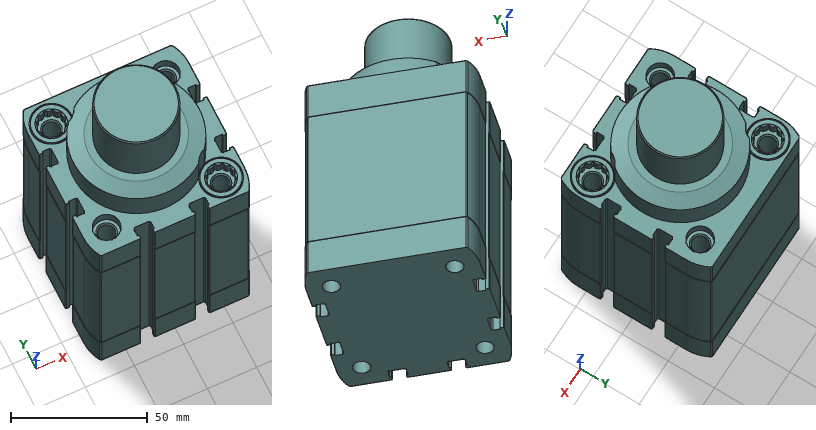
import cadquery as cq
import math

WIDTH = 65.5
HALF = WIDTH / 2
TOTAL_HEIGHT = 131.0
BODY_HEIGHT = 90.5
CAP_HEIGHT = 15.0
BARREL_INSET = 0.2

CORNER_START = 23.3
CORNER_RADIUS = 18.3
CORNER_ANGLE = math.radians(29.3)
CORNER_FLAT = 29.7

SLOT_OFFSET = 11.1
SLOT_DEPTH = 5.0
SLOT_WIDTH = 6.8
MOUTH_WIDTH = 5.5
LIP_DEPTH = 1.6
MOUTH_CHAMFER = 0.33
SLOT_FLOOR_CHAMFER = 0.5

COLLAR_DIAMETER = 51.0
COLLAR_HEIGHT = 12.8
CONE_TOP_DIAMETER = 38.3
CONE_HEIGHT = 1.6

ROD_DIAMETER = 32.0
ROD_CHAMFER = 0.5
ROD_BOTTOM = BODY_HEIGHT - CAP_HEIGHT

HOLE_SPACING = 46.5
HOLE_OFFSET = HOLE_SPACING / 2
BORE_DIAMETER = 6.7
BORE_MOUTH_DIAMETER = 7.9
BORE_MOUTH_DEPTH = 0.59
COUNTERBORE_DIAMETER = 10.5
COUNTERBORE_DEPTH = 4.5

RING_DIAMETER = 16.4
RING_CHAMFER = 0.46
SOCKET_MOUTH_DIAMETER = 12.0
SOCKET_MOUTH_DEPTH = 0.5
SOCKET_DEPTH = 5.0
SOCKET_DIAGONAL = SOCKET_MOUTH_DIAMETER
SOCKET_CREST_DIAMETER = 10.5
SOCKET_SQUARES = 3


def body_outline(inset):
    """Square outline whose four corners are arcs tangent to the side faces."""
    side = HALF - inset
    center_x = HALF - CORNER_RADIUS
    radius = CORNER_RADIUS - inset

    def on_arc(angle):
        return center_x + radius * math.cos(angle), CORNER_START + radius * math.sin(angle)

    middle = on_arc(CORNER_ANGLE / 2)
    end = on_arc(CORNER_ANGLE)
    return (
        cq.Workplane("XY")
        .moveTo(0, side)
        .lineTo(CORNER_FLAT, side)
        .lineTo(*end)
        .threePointArc(middle, (side, CORNER_START))
        .lineTo(side, 0)
        .mirrorX()
        .mirrorY()
    )


def slot_outline(inset):
    """T-slot open toward -Y, with chamfered mouth and floor corners."""
    face = -HALF + inset
    lip = -HALF + LIP_DEPTH
    floor = -HALF + SLOT_DEPTH
    mouth = MOUTH_WIDTH / 2
    pocket = SLOT_WIDTH / 2
    half_outline = [
        (mouth + MOUTH_CHAMFER, face),
        (mouth, face + MOUTH_CHAMFER),
        (mouth, lip),
        (pocket, lip),
        (pocket, floor - SLOT_FLOOR_CHAMFER),
        (pocket - SLOT_FLOOR_CHAMFER, floor),
    ]
    other_half = [(-x, y) for x, y in reversed(half_outline)]
    return cq.Workplane("XY").polyline(half_outline + other_half).close()


def body_section(inset, height):
    """Stretch of the body with two slots on the front face and two on each side face."""
    section = body_outline(inset).extrude(height)
    slot = slot_outline(inset).extrude(height)
    for turn in (-90, 0, 90):
        for offset in (-SLOT_OFFSET, SLOT_OFFSET):
            section = section.cut(slot.translate((offset, 0, 0)).rotate((0, 0, 0), (0, 0, 1), turn))
    return section


def body_block():
    """Slim barrel between two identical end caps."""
    cap = body_section(0, CAP_HEIGHT)
    barrel = body_section(BARREL_INSET, BODY_HEIGHT - 2 * CAP_HEIGHT)
    return (
        cap.union(barrel.translate((0, 0, CAP_HEIGHT)))
        .union(cap.translate((0, 0, BODY_HEIGHT - CAP_HEIGHT)))
    )


def revolved(points):
    """Turn a closed (radius, height) profile about the Z axis."""
    return cq.Workplane("XZ").polyline(points).close().revolve(360, (0, 0, 0), (0, 1, 0))


def bore_cutter(floor_depth):
    """Through bore whose mouth is countersunk at the given depth below the body top."""
    floor = BODY_HEIGHT - floor_depth
    return revolved([
        (0, 0),
        (BORE_DIAMETER / 2, 0),
        (BORE_DIAMETER / 2, floor - BORE_MOUTH_DEPTH),
        (BORE_MOUTH_DIAMETER / 2, floor),
        (0, floor),
    ])


def counterbored_hole():
    """Flat-bottomed counterbore over a through bore."""
    counterbore = (
        cq.Workplane("XY")
        .circle(COUNTERBORE_DIAMETER / 2)
        .extrude(COUNTERBORE_DEPTH)
        .translate((0, 0, BODY_HEIGHT - COUNTERBORE_DEPTH))
    )
    return counterbore.union(bore_cutter(COUNTERBORE_DEPTH))


def triple_square_socket():
    """Twelve-point socket: three turned squares around a round core that trims the crests."""
    side = SOCKET_DIAGONAL / math.sqrt(2)
    socket = cq.Workplane("XY").circle(SOCKET_CREST_DIAMETER / 2).extrude(SOCKET_DEPTH)
    corner_on_axis = 45
    point_pitch = 90 / SOCKET_SQUARES
    for index in range(SOCKET_SQUARES):
        turn = corner_on_axis + index * point_pitch
        square = cq.Workplane("XY").rect(side, side).extrude(SOCKET_DEPTH)
        socket = socket.union(square.rotate((0, 0, 0), (0, 0, 1), turn))
    return socket.translate((0, 0, BODY_HEIGHT - SOCKET_DEPTH))


def socket_hole():
    """Twelve-point socket with a thin V groove around it; the ring also bites into the collar."""
    top = BODY_HEIGHT
    ring_radius = RING_DIAMETER / 2
    ring_groove = revolved([
        (ring_radius - RING_CHAMFER, top),
        (ring_radius, top - RING_CHAMFER),
        (ring_radius, top),
    ])
    mouth = revolved([
        (0, top - SOCKET_MOUTH_DEPTH),
        (SOCKET_CREST_DIAMETER / 2, top - SOCKET_MOUTH_DEPTH),
        (SOCKET_MOUTH_DIAMETER / 2, top),
        (0, top),
    ])
    collar_relief = (
        cq.Workplane("XY").circle(ring_radius).extrude(COLLAR_HEIGHT + CONE_HEIGHT).translate((0, 0, top))
    )
    hole = triple_square_socket().union(bore_cutter(SOCKET_DEPTH))
    return hole.union(mouth).union(ring_groove).union(collar_relief)


def make_collar():
    """Round collar on top of the body, narrowing in a shallow cone."""
    base = BODY_HEIGHT
    rim = base + COLLAR_HEIGHT
    return revolved([
        (0, base),
        (COLLAR_DIAMETER / 2, base),
        (COLLAR_DIAMETER / 2, rim),
        (CONE_TOP_DIAMETER / 2, rim + CONE_HEIGHT),
        (0, rim + CONE_HEIGHT),
    ])


def make_rod():
    """Plain rod seated at the underside of the upper cap, with a chamfered tip."""
    return (
        cq.Workplane("XY")
        .circle(ROD_DIAMETER / 2)
        .extrude(TOTAL_HEIGHT - ROD_BOTTOM)
        .faces(">Z")
        .chamfer(ROD_CHAMFER)
        .translate((0, 0, ROD_BOTTOM))
    )


def make_housing(rod):
    """Body and collar with four corner holes and a bore that fits the rod."""
    housing = body_block().union(make_collar())
    for sign in (-1, 1):
        housing = housing.cut(counterbored_hole().translate((sign * HOLE_OFFSET, sign * HOLE_OFFSET, 0)))
        housing = housing.cut(socket_hole().translate((sign * HOLE_OFFSET, -sign * HOLE_OFFSET, 0)))
    return housing.cut(rod)


rod = make_rod()
housing = make_housing(rod)

result = cq.Compound.makeCompound([housing.val(), rod.val()])